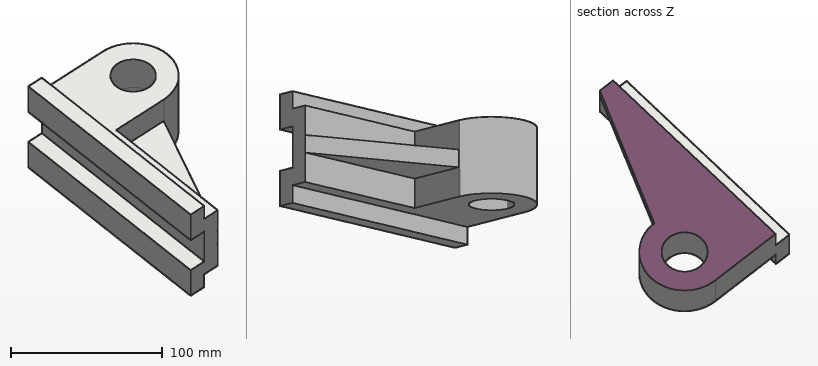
import cadquery as cq

length = 160.0
depth = 96.0
height = 76.0
wall = 12.0
body_height = 52.0
channel_height = 28.0
lug_width = 60.0

lug_radius = lug_width / 2
bore_diameter = lug_width / 2
bore_y = depth - lug_radius
plate_back = 2 * wall
rail_height = (height - channel_height) / 2


def centred_block(size_y, size_z, start_y):
    """Full-length block centred on the mid-height plane."""
    block = cq.Workplane("XY").box(length, size_y, size_z, centered=(False, False, True))
    return block.translate((0, start_y, 0))


def make_rails():
    """Two front rails separated by an open channel."""
    rail_offset = (height - rail_height) / 2
    lower = centred_block(wall, rail_height, 0).translate((0, 0, -rail_offset))
    upper = centred_block(wall, rail_height, 0).translate((0, 0, rail_offset))
    return lower, upper


def make_lug():
    """Lug with a rounded end, standing behind the rails."""
    return (
        cq.Workplane("XY")
        .moveTo(0, wall)
        .lineTo(lug_width, wall)
        .lineTo(lug_width, bore_y)
        .threePointArc((lug_radius, depth), (0, bore_y))
        .close()
        .extrude(body_height / 2, both=True)
    )


def make_gusset():
    """Thin triangular web bracing the lug against the back plate."""
    return (
        cq.Workplane("XY")
        .polyline([(lug_width, plate_back), (length, plate_back), (lug_width, bore_y)])
        .close()
        .extrude(wall / 2, both=True)
    )


def make_bore():
    """Vertical hole through the lug, concentric with its rounded end."""
    return (
        cq.Workplane("XY")
        .center(lug_radius, bore_y)
        .circle(bore_diameter / 2)
        .extrude(body_height / 2, both=True)
    )


result = centred_block(wall, body_height, wall).union(make_lug()).union(make_gusset())
for rail in make_rails():
    result = result.union(rail)
result = result.cut(make_bore())